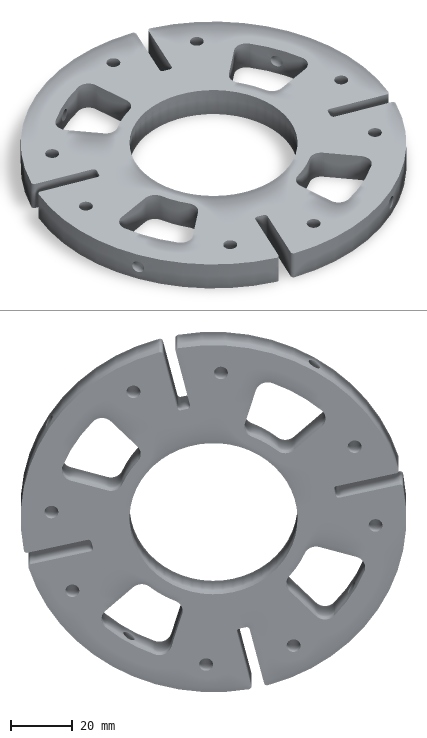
import cadquery as cq
import math

outer_diameter = 125.0
outer_radius = outer_diameter / 2
bore_diameter = 54.4
thickness = 10.0

quadrant_angles = [0, 90, 180, 270]

slot_width = 4.2
slot_end_radius = 40.5
slot_corner_radius = 1.0

window_inner_radius = 32.1
window_outer_radius = 52.4
window_span = 30.0
window_centre_angle = 45.0
window_corner_radius = 4.0

bolt_hole_diameter = 4.5
bolt_circle_radius = 52.5
bolt_angle_from_slot = 16.1

rim_hole_diameter = 4.2


def polar_point(radius, angle):
    """Point in the XY plane at a radius and an angle in degrees."""
    radians = math.radians(angle)
    return (radius * math.cos(radians), radius * math.sin(radians))


def slot_cutter():
    """Slot along +X that runs out through the rim."""
    length = outer_radius - slot_end_radius + slot_width
    return (
        cq.Workplane("XY")
        .center(slot_end_radius + length / 2, 0)
        .rect(length, slot_width)
        .extrude(thickness)
    )


def window_cutter():
    """Rounded ring-sector window in the first quadrant."""
    start_angle = window_centre_angle - window_span / 2
    end_angle = window_centre_angle + window_span / 2
    return (
        cq.Workplane("XY")
        .moveTo(*polar_point(window_inner_radius, start_angle))
        .lineTo(*polar_point(window_outer_radius, start_angle))
        .threePointArc(
            polar_point(window_outer_radius, window_centre_angle),
            polar_point(window_outer_radius, end_angle),
        )
        .lineTo(*polar_point(window_inner_radius, end_angle))
        .threePointArc(
            polar_point(window_inner_radius, window_centre_angle),
            polar_point(window_inner_radius, start_angle),
        )
        .close()
        .extrude(thickness)
        .edges("|Z")
        .fillet(window_corner_radius)
    )


def bolt_hole_cutter():
    """Pair of through holes, one on each side of the slot along +X."""
    centres = [
        polar_point(bolt_circle_radius, bolt_angle_from_slot),
        polar_point(bolt_circle_radius, -bolt_angle_from_slot),
    ]
    return (
        cq.Workplane("XY")
        .pushPoints(centres)
        .circle(bolt_hole_diameter / 2)
        .extrude(thickness)
    )


def rim_hole_cutter():
    """Radial hole at mid thickness, from the middle of the window out past the rim."""
    start_radius = (window_inner_radius + window_outer_radius) / 2
    return (
        cq.Workplane("YZ", origin=(start_radius, 0, 0))
        .center(0, thickness / 2)
        .circle(rim_hole_diameter / 2)
        .extrude(outer_radius - start_radius + rim_hole_diameter)
        .rotate((0, 0, 0), (0, 0, 1), window_centre_angle)
    )


def cut_in_quadrants(body, cutter):
    """Cut the same shape out of all four quadrants."""
    for angle in quadrant_angles:
        body = body.cut(cutter.rotate((0, 0, 0), (0, 0, 1), angle))
    return body


slotted_disc = cq.Workplane("XY").circle(outer_radius).extrude(thickness)
slotted_disc = cut_in_quadrants(slotted_disc, slot_cutter())
slotted_disc = slotted_disc.edges("|Z").fillet(slot_corner_radius)

result = slotted_disc.cut(cq.Workplane("XY").circle(bore_diameter / 2).extrude(thickness))
for opening in (window_cutter(), bolt_hole_cutter(), rim_hole_cutter()):
    result = cut_in_quadrants(result, opening)